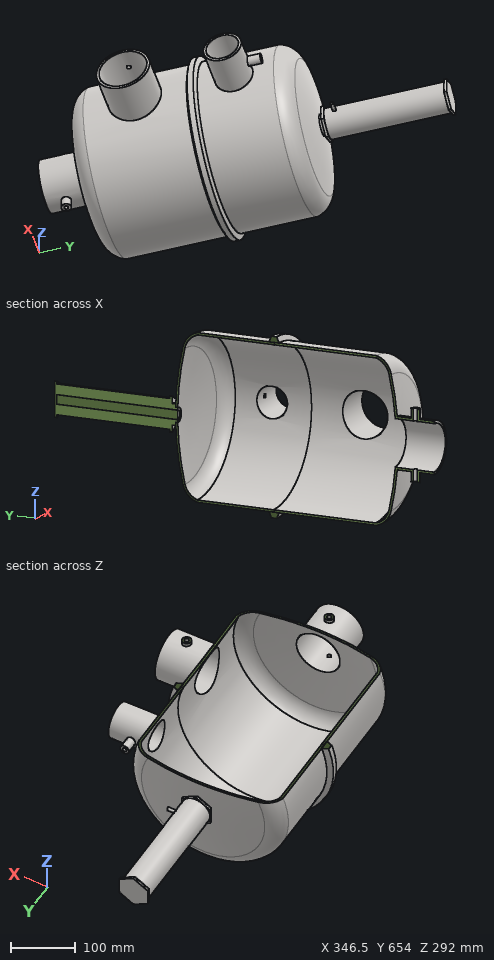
import cadquery as cq


overall_width = 346.5
overall_length = 654.0

vessel_radius = 136.5
wall = 4.5
front_shell_length = 170.5
rear_shell_length = 126.0
head_skirt = 5.0
knuckle_radius = 35.0
knuckle_depth = 26.0
crown_edge_radius = 109.0
crown_rise = 12.5
head_depth = head_skirt + knuckle_depth + crown_rise
rear_pole_y = rear_shell_length + head_depth

clamp_diameter = 292.0
clamp_radius = clamp_diameter / 2
clamp_base_width = 17.5
clamp_top_width = 10.0

main_pipe_radius = 43.0
front_pipe_end_y = -276.0
front_tap_y = -243.0
side_pipe_end_x = overall_width - clamp_radius
main_side_pipe_y = -92.0
main_side_tap_x = 168.0
small_pipe_radius = 31.0
small_side_pipe_y = 68.0
small_side_tap_x = 160.0

tap_radius = 8.0
tap_bore_radius = 3.0
main_tap_reach = 59.0
small_tap_reach = 51.0

actuator_end_y = front_pipe_end_y + overall_length
actuator_length = 202.5
actuator_diameter = 50.5
plate_thickness = 4.5
plate_across_flats = actuator_diameter
neck_radius = 17.5
spigot_radius = 12.0
port_radius = 2.95
port_end_x = 40.0
port_y = 197.0
actuator_front_y = actuator_end_y - actuator_length
rear_plate_y = actuator_end_y - plate_thickness
spigot_end_y = rear_pole_y - wall

rod_radius = 7.0
rod_end_y = rear_plate_y


def cylinder(radius, start, end):
    """Cylinder between two points."""
    axis = cq.Vector(*end) - cq.Vector(*start)
    solid = cq.Solid.makeCylinder(radius, axis.Length, cq.Vector(*start), axis)
    return cq.Workplane(obj=solid)


def domed_solid(shell_length, inset):
    """Domed half vessel along +Y from Y = 0, with its outside moved inward by `inset`."""
    radius = vessel_radius - inset
    skirt_y = shell_length + head_skirt
    knuckle_y = skirt_y + knuckle_depth - inset
    pole_y = knuckle_y + crown_rise
    crown_radius = (crown_edge_radius**2 + crown_rise**2) / (2 * crown_rise)
    mid_crown_r = crown_edge_radius / 2
    mid_crown_y = pole_y - crown_radius + (crown_radius**2 - mid_crown_r**2) ** 0.5
    profile = (
        cq.Workplane("XY")
        .lineTo(radius, 0)
        .lineTo(radius, skirt_y)
        .radiusArc((crown_edge_radius, knuckle_y), -(knuckle_radius - inset))
        .threePointArc((mid_crown_r, mid_crown_y), (0, pole_y))
        .close()
    )
    return profile.revolve(360, (0, 0, 0), (0, 1, 0))


def add_pipe(half, cavity, radius, start, end, taps):
    """Join a pipe to a vessel half, with (foot, tip) taps, and open both into the cavity."""
    pipe = cylinder(radius, start, end).cut(cavity)
    bores = cylinder(radius - wall, start, end)
    for foot, tip in taps:
        pipe = pipe.union(cylinder(tap_radius, foot, tip))
        bores = bores.union(cylinder(tap_bore_radius, foot, tip))
    return half.union(pipe).cut(bores)


def make_front_half():
    """Front vessel half with the front pipe and the large side pipe."""
    outside = domed_solid(front_shell_length, 0).mirror("XZ")
    cavity = domed_solid(front_shell_length, wall).mirror("XZ")
    half = outside.cut(cavity)

    front_taps = [
        ((0, front_tap_y, 0), (0, front_tap_y, side * main_tap_reach)) for side in (1, -1)
    ]
    half = add_pipe(
        half,
        cavity,
        main_pipe_radius,
        (0, -front_shell_length, 0),
        (0, front_pipe_end_y, 0),
        front_taps,
    )

    side_tap = (
        (main_side_tap_x, main_side_pipe_y, 0),
        (main_side_tap_x, main_side_pipe_y, main_tap_reach),
    )
    return add_pipe(
        half,
        cavity,
        main_pipe_radius,
        (0, main_side_pipe_y, 0),
        (side_pipe_end_x, main_side_pipe_y, 0),
        [side_tap],
    )


def make_rear_half():
    """Rear vessel half with the small side pipe and the hole for the actuator spigot."""
    cavity = domed_solid(rear_shell_length, wall)
    half = domed_solid(rear_shell_length, 0).cut(cavity)
    side_tap = (
        (small_side_tap_x, small_side_pipe_y, 0),
        (small_side_tap_x, small_side_pipe_y + small_tap_reach, 0),
    )
    half = add_pipe(
        half,
        cavity,
        small_pipe_radius,
        (0, small_side_pipe_y, 0),
        (side_pipe_end_x, small_side_pipe_y, 0),
        [side_tap],
    )
    spigot_hole = cylinder(spigot_radius, (0, 0, 0), (0, actuator_front_y, 0))
    return half.cut(spigot_hole)


def make_clamp_ring():
    """Ring with sloping sides around the joint of the two halves."""
    profile = cq.Workplane("XY").polyline(
        [
            (vessel_radius, -clamp_base_width / 2),
            (clamp_radius, -clamp_top_width / 2),
            (clamp_radius, clamp_top_width / 2),
            (vessel_radius, clamp_base_width / 2),
        ]
    )
    return profile.close().revolve(360, (0, 0, 0), (0, 1, 0))


def make_end_plate(front_y):
    """Hexagonal plate with flats facing +X and -X."""
    plane = cq.Plane(origin=(0, front_y, 0), xDir=(1, 0, 0), normal=(0, 1, 0))
    hexagon = cq.Workplane(plane).polygon(6, plate_across_flats, circumscribed=True)
    return hexagon.extrude(plate_thickness)


def make_actuator(rod):
    """Barrel, end plates, neck, spigot and port, bored for the rod."""
    body = cylinder(actuator_diameter / 2, (0, actuator_front_y, 0), (0, actuator_end_y, 0))
    for plate_y in (actuator_front_y, rear_plate_y):
        body = body.union(make_end_plate(plate_y))
    neck = cylinder(neck_radius, (0, rear_shell_length, 0), (0, actuator_front_y, 0))
    neck = neck.cut(domed_solid(rear_shell_length, 0))
    spigot = cylinder(spigot_radius, (0, spigot_end_y, 0), (0, actuator_front_y, 0))
    port = cylinder(port_radius, (0, port_y, 0), (port_end_x, port_y, 0))
    return body.union(neck).union(spigot).union(port).cut(rod)


def make_rod():
    """Rod from the spigot tip to the rear end plate."""
    return cylinder(rod_radius, (0, spigot_end_y, 0), (0, rod_end_y, 0))


front_half = make_front_half()
rear_half = make_rear_half()
clamp_ring = make_clamp_ring()
rod = make_rod()
actuator = make_actuator(rod)

bodies = [front_half, rear_half, clamp_ring, actuator, rod]
result = cq.Compound.makeCompound([body.solids().val() for body in bodies])